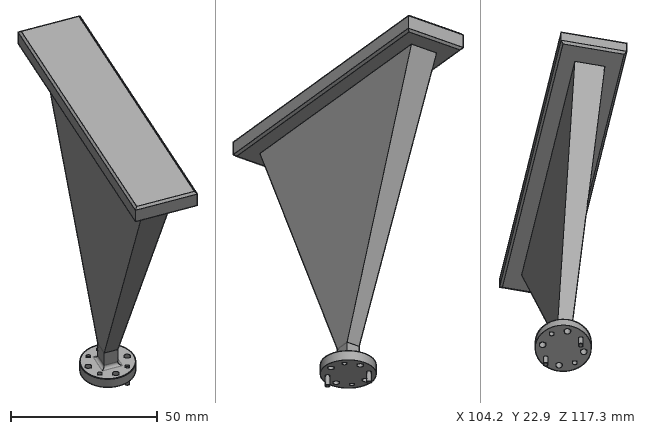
import cadquery as cq
import math

CAP_LENGTH = 104.2
CAP_WIDTH = 22.9
CAP_HEIGHT = 6.6
CAP_CHAMFER = 0.8

HORN_TOP_X = 90.1
HORN_TOP_Y = 10.5
NECK_X = 5.9
NECK_Y = 5.0
NECK_HEIGHT = 6.6
NECK_FILLET = 1.2

FLANGE_DIAMETER = 19.1
FLANGE_THICKNESS = 3.8
RIM_CHAMFER = 0.18
BOLT_CIRCLE_RADIUS = 7.2
SCREW_HOLE_DIAMETER = 2.2
PIN_DIAMETER = 1.6

PIN_PROJECTION = 4.0
PIN_CHAMFER = 0.1
PIN_RECESS = 0.7

TOTAL_HEIGHT = 117.3
FLANGE_BOTTOM = PIN_PROJECTION
FLANGE_TOP = FLANGE_BOTTOM + FLANGE_THICKNESS
NECK_TOP = FLANGE_TOP + NECK_HEIGHT
CAP_BOTTOM = TOTAL_HEIGHT - CAP_HEIGHT

PIN_ANGLES = (45, 225)
DOWEL_HOLE_ANGLES = (45, 135, 225, 315)
SCREW_HOLE_ANGLES = (0, 90, 180, 270)


def on_bolt_circle(angle):
    """X and Y of a position on the bolt circle, for an angle in degrees."""
    turn = math.radians(angle)
    return BOLT_CIRCLE_RADIUS * math.cos(turn), BOLT_CIRCLE_RADIUS * math.sin(turn)


def tapered_block(bottom_x, bottom_y, top_x, top_y, bottom, top):
    """Straight-sided transition between two centred rectangles."""
    return (
        cq.Workplane("XY", origin=(0, 0, bottom))
        .rect(bottom_x, bottom_y)
        .workplane(offset=top - bottom)
        .rect(top_x, top_y)
        .loft(ruled=True)
    )


def make_cap():
    """Rectangular plate, bevelled around its top and bottom faces."""
    return (
        cq.Workplane("XY", origin=(0, 0, CAP_BOTTOM))
        .rect(CAP_LENGTH, CAP_WIDTH)
        .extrude(CAP_HEIGHT)
        .faces("|Z")
        .edges()
        .chamfer(CAP_CHAMFER)
    )


def make_flange():
    """Round flange, bevelled around its top rim, with through holes for screws and dowel pins."""
    flange = (
        cq.Workplane("XY", origin=(0, 0, FLANGE_BOTTOM))
        .circle(FLANGE_DIAMETER / 2)
        .extrude(FLANGE_THICKNESS)
        .faces(">Z")
        .edges()
        .chamfer(RIM_CHAMFER)
    )
    hole_groups = (
        (SCREW_HOLE_ANGLES, SCREW_HOLE_DIAMETER),
        (DOWEL_HOLE_ANGLES, PIN_DIAMETER),
    )
    for angles, diameter in hole_groups:
        holes = (
            cq.Workplane("XY", origin=(0, 0, FLANGE_BOTTOM))
            .pushPoints([on_bolt_circle(angle) for angle in angles])
            .circle(diameter / 2)
            .extrude(FLANGE_THICKNESS)
        )
        flange = flange.cut(holes)
    return flange


def make_horn():
    """One-piece horn: flange, neck with a filleted foot, flare and cap."""
    neck = cq.Workplane("XY", origin=(0, 0, FLANGE_TOP)).rect(NECK_X, NECK_Y).extrude(NECK_HEIGHT)
    flare = tapered_block(NECK_X, NECK_Y, HORN_TOP_X, HORN_TOP_Y, NECK_TOP, CAP_BOTTOM)
    neck_base = cq.selectors.BoxSelector(
        (-NECK_X, -NECK_Y, FLANGE_TOP - NECK_FILLET),
        (NECK_X, NECK_Y, FLANGE_TOP + NECK_FILLET),
    )
    foot = make_flange().union(neck).edges(neck_base).edges("#Z").edges("%LINE").fillet(NECK_FILLET)
    return foot.union(flare).union(make_cap())


def make_pin(angle):
    """Dowel pin set just below the flange top, bevelled at both ends."""
    return (
        cq.Workplane("XY")
        .center(*on_bolt_circle(angle))
        .circle(PIN_DIAMETER / 2)
        .extrude(FLANGE_TOP - PIN_RECESS)
        .faces("|Z")
        .edges()
        .chamfer(PIN_CHAMFER)
    )


horn = make_horn()
pins = [make_pin(angle) for angle in PIN_ANGLES]

result = cq.Compound.makeCompound([horn.val(), *[pin.val() for pin in pins]])